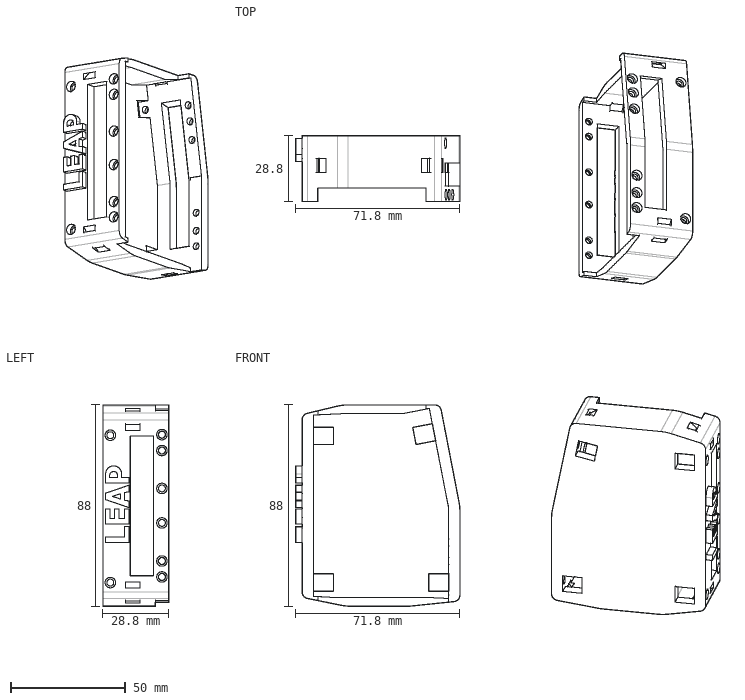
import cadquery as cq
import math

WIDTH = 69.0
DEPTH = 28.8
HEIGHT = 88.0
SIDE_WALL = 5.0
BACK_PLATE = 5.4
CORNER_RADIUS = 3.0
BEND_RADIUS = 20.0

TOP_LEFT_Z = 83.8
TOP_LEFT_BEVEL = 17.7
BOTTOM_LEFT_Z = 3.9
BOTTOM_LEFT_BEVEL = 19.2
BOTTOM_RIGHT_X = 46.9
BOTTOM_RIGHT_Z = 2.3
TOP_RIGHT_X = 60.4
LEAN_START_Z = 43.5
LEAN = math.atan((WIDTH - TOP_RIGHT_X) / (HEIGHT - LEAN_START_Z))

CEILING_Z = 84.1
CEILING_LEFT_Z = 83.5
CEILING_LEFT_X = 17.7
CEILING_RIGHT_X = 43.9
FLOOR_Z = 3.8
FLOOR_LEFT_Z = 4.4
FLOOR_LEFT_X = 15.3
FLOOR_RIGHT_Z = 3.4
FLOOR_RIGHT_X = 56.85

SETBACK = 5.8
POST_LEFT_X = 6.95
POST_TOP_RIGHT_X = 54.1

SLOT_Y = (6.8, 16.7)
SLOT_BOTTOM_Z = 13.4
SLOT_LEFT_TOP_Z = 74.4
SLOT_RIGHT_TOP_Z = 76.7

COUNTERBORE_DIAMETER = 4.6
COUNTERBORE_DEPTH = 3.0
HOLE_DIAMETER = 3.0
FRONT_HOLE_Y = 3.0
BACK_HOLE_Y = 25.5
LEFT_FRONT_HOLES_Z = (12.85, 19.8, 36.4, 51.5, 68.0, 75.0)
RIGHT_FRONT_HOLES_Z = (12.85, 19.8, 27.9, 59.9, 68.0, 75.0)
BACK_HOLES_LOW_Z = 10.4
BACK_HOLES_LEFT_Z = 74.7
BACK_HOLES_RIGHT_Z = 76.0

WINDOW_WIDTH = 8.6
WINDOW_HEIGHT = 7.5
TOP_LEFT_WINDOW_Z = 74.45
LEANING_WINDOW_Z = 76.0

STRAP_Y = (12.7, 18.8)
STRAP_THICKNESS = 1.9
STRAP_LENGTH = 26.4
STRAP_TOP_LEFT = (4.4, 82.1, 42)
STRAP_BOTTOM_LEFT = (4.4, 5.9, -38)
STRAP_TOP_RIGHT = (57.5, 85.7, -33)
STRAP_BOTTOM_RIGHT = (64.0, 3.4, 42)

LETTER_RAISE = 2.8
LETTER_HEIGHT = 10.1
LETTER_STROKE = 2.55
LETTER_BAR = 1.9
TEXT_BASE_Y = 17.4
TEXT_START_Z = 27.8

L_START, L_WIDTH = 0, 6.95
E_START, E_WIDTH = 8.1, 6.6
A_START, A_WIDTH = 15.3, 9.8
P_START, P_WIDTH = 26.0, 7.6

E_MIDDLE_BAR = 4.4
A_TIP_HALF_WIDTH = 1.4
A_NOTCH_HALF_WIDTHS = (2.0, 1.7)
A_HOLE_HALF_WIDTH = 1.1
A_HOLE_BOTTOM = 3.7
A_HOLE_TOP = 7.2
P_BOWL_BOTTOM = 3.2
P_HOLE_RIGHT = 5.1
P_HOLE_BOTTOM = 4.9
P_HOLE_TOP = 8.4

CUT_MARGIN = 4.4
POSITION_TOLERANCE = 0.01


def extrude_y(sketch, y_start, y_end):
    """Extrude an XZ sketch from y_start to y_end."""
    return sketch.extrude(-(y_end - y_start)).translate((0, y_start, 0))


def box(x_range, y_range, z_range):
    size = [high - low for low, high in (x_range, y_range, z_range)]
    corner = (x_range[0], y_range[0], z_range[0])
    return cq.Workplane("XY").box(*size, centered=False).translate(corner)


def lean_x(z):
    """X of the right outer face at height z."""
    return WIDTH - max(0.0, z - LEAN_START_Z) * math.tan(LEAN)


def inner_lean_x(z):
    """X of the leaning inner face at height z."""
    return TOP_RIGHT_X + (HEIGHT - z) * math.tan(LEAN) - SIDE_WALL / math.cos(LEAN)


def make_body():
    outline = [
        (0, BOTTOM_LEFT_Z),
        (BOTTOM_LEFT_BEVEL, 0),
        (BOTTOM_RIGHT_X, 0),
        (WIDTH, BOTTOM_RIGHT_Z),
        (WIDTH, LEAN_START_Z),
        (TOP_RIGHT_X, HEIGHT),
        (TOP_LEFT_BEVEL, HEIGHT),
        (0, TOP_LEFT_Z),
    ]
    body = extrude_y(cq.Workplane("XZ").polyline(outline).close(), 0, DEPTH)

    def edges_at(points):
        def on_a_point(edge):
            centre = edge.Center()
            return any(math.hypot(centre.x - x, centre.z - z) < POSITION_TOLERANCE for x, z in points)

        return body.edges("|Y").filter(on_a_point)

    bottom_left, bottom_bend_left, bottom_bend_right, bottom_right = outline[:4]
    right_bend, top_right, top_bend, top_left = outline[4:]
    corners = [bottom_left, bottom_right, top_right, top_left]
    body = edges_at(corners).fillet(CORNER_RADIUS)
    bends = [bottom_bend_left, bottom_bend_right, right_bend, top_bend]
    return edges_at(bends).fillet(BEND_RADIUS)


def make_cavity():
    inner_right = WIDTH - SIDE_WALL
    wall_x = inner_lean_x(CEILING_Z)
    run = (wall_x - CEILING_RIGHT_X) * math.cos(LEAN)
    ceiling_end = (
        CEILING_RIGHT_X + run * math.cos(LEAN),
        CEILING_Z + run * math.sin(LEAN),
    )
    inner_lean_start = HEIGHT - (inner_right - inner_lean_x(HEIGHT)) / math.tan(LEAN)
    points = [
        (SIDE_WALL, FLOOR_LEFT_Z),
        (FLOOR_LEFT_X, FLOOR_Z),
        (FLOOR_RIGHT_X, FLOOR_Z),
        (inner_right, FLOOR_RIGHT_Z),
        (inner_right, inner_lean_start),
        ceiling_end,
        (CEILING_RIGHT_X, CEILING_Z),
        (CEILING_LEFT_X, CEILING_Z),
        (SIDE_WALL, CEILING_LEFT_Z),
    ]
    return extrude_y(cq.Workplane("XZ").polyline(points).close(), 0, DEPTH - BACK_PLATE)


def make_setbacks():
    y_range = (0, SETBACK)
    top = box((POST_LEFT_X, POST_TOP_RIGHT_X), y_range, (HEIGHT / 2, HEIGHT))
    bottom = box((POST_LEFT_X, WIDTH - SIDE_WALL), y_range, (0, HEIGHT / 2))
    return top.union(bottom)


def make_side_slots():
    left = box((0, SIDE_WALL), SLOT_Y, (SLOT_BOTTOM_Z, SLOT_LEFT_TOP_Z))
    top_x = lean_x(SLOT_RIGHT_TOP_Z)
    inner_x = top_x - 2 * SIDE_WALL
    outer_x = WIDTH + CUT_MARGIN

    def end_z(x):
        return SLOT_RIGHT_TOP_Z + (top_x - x) * math.tan(LEAN)

    points = [
        (outer_x, SLOT_BOTTOM_Z),
        (outer_x, end_z(outer_x)),
        (inner_x, end_z(inner_x)),
        (inner_x, SLOT_BOTTOM_Z),
    ]
    right = extrude_y(cq.Workplane("XZ").polyline(points).close(), *SLOT_Y)
    return left.union(right)


def screw_hole(x, y, z, inward):
    """Hole with a deep counterbore, from the outer face at (x, y, z) through the side wall."""
    axis = cq.Vector(inward, 0, 0)

    def bore(diameter, depth):
        start = cq.Vector(x - inward * CUT_MARGIN, y, z)
        return cq.Workplane(cq.Solid.makeCylinder(diameter / 2, depth + CUT_MARGIN, start, axis))

    return bore(COUNTERBORE_DIAMETER, COUNTERBORE_DEPTH).union(bore(HOLE_DIAMETER, SIDE_WALL + CUT_MARGIN))


def make_screw_holes():
    left = [(FRONT_HOLE_Y, z) for z in LEFT_FRONT_HOLES_Z]
    left += [(BACK_HOLE_Y, BACK_HOLES_LOW_Z), (BACK_HOLE_Y, BACK_HOLES_LEFT_Z)]
    right = [(FRONT_HOLE_Y, z) for z in RIGHT_FRONT_HOLES_Z]
    right += [(BACK_HOLE_Y, BACK_HOLES_LOW_Z), (BACK_HOLE_Y, BACK_HOLES_RIGHT_Z)]
    holes = cq.Workplane("XY")
    for y, z in left:
        holes = holes.add(screw_hole(0, y, z, 1))
    for y, z in right:
        holes = holes.add(screw_hole(lean_x(z), y, z, -1))
    return holes.combine()


def make_windows():
    y_range = (DEPTH - BACK_PLATE, DEPTH)

    def window(x, z):
        half = WINDOW_HEIGHT / 2
        return box((x, x + WINDOW_WIDTH), y_range, (z - half, z + half))

    windows = window(SIDE_WALL, BACK_HOLES_LOW_Z)
    windows = windows.union(window(SIDE_WALL, TOP_LEFT_WINDOW_Z))
    windows = windows.union(window(WIDTH - SIDE_WALL - WINDOW_WIDTH, BACK_HOLES_LOW_Z))
    wall_point = (inner_lean_x(LEANING_WINDOW_Z), 0, LEANING_WINDOW_Z)
    leaning = window(-WINDOW_WIDTH, 0).rotate((0, 0, 0), (0, 1, 0), -math.degrees(LEAN))
    return windows.union(leaning.translate(wall_point))


def strap_slot(x, z, angle):
    """Flat diagonal slot centred on (x, z) and tilted up to the right by angle degrees."""
    slot = cq.Workplane("XY").box(STRAP_LENGTH, STRAP_Y[1] - STRAP_Y[0], STRAP_THICKNESS)
    return slot.rotate((0, 0, 0), (0, 1, 0), -angle).translate((x, sum(STRAP_Y) / 2, z))


def letter_plane(start):
    origin = (0, TEXT_BASE_Y, TEXT_START_Z + start)
    return cq.Workplane(cq.Plane(origin=origin, xDir=(0, 0, 1), normal=(-1, 0, 0)))


def letter_l():
    points = [(0, 0), (L_WIDTH, 0), (L_WIDTH, LETTER_BAR), (LETTER_STROKE, LETTER_BAR)]
    points += [(LETTER_STROKE, LETTER_HEIGHT), (0, LETTER_HEIGHT)]
    return letter_plane(L_START).polyline(points).close().extrude(LETTER_RAISE)


def letter_e():
    plane = letter_plane(E_START)
    letter = plane.rect(LETTER_STROKE, LETTER_HEIGHT, centered=False).extrude(LETTER_RAISE)
    for level in (0, E_MIDDLE_BAR, LETTER_HEIGHT - LETTER_BAR):
        bar = plane.moveTo(0, level).rect(E_WIDTH, LETTER_BAR, centered=False).extrude(LETTER_RAISE)
        letter = letter.union(bar)
    return letter


def letter_a():
    middle = A_WIDTH / 2
    foot, notch = A_NOTCH_HALF_WIDTHS
    left_half = [(-A_TIP_HALF_WIDTH, LETTER_HEIGHT), (-middle, 0), (-foot, 0), (-notch, LETTER_BAR)]
    right_half = [(-u, v) for u, v in reversed(left_half)]
    points = [(middle + u, v) for u, v in left_half + right_half]
    hole = [
        (middle - A_HOLE_HALF_WIDTH, A_HOLE_BOTTOM),
        (middle + A_HOLE_HALF_WIDTH, A_HOLE_BOTTOM),
        (middle, A_HOLE_TOP),
    ]
    plane = letter_plane(A_START)
    letter = plane.polyline(points).close().extrude(LETTER_RAISE)
    return letter.cut(plane.polyline(hole).close().extrude(LETTER_RAISE))


def letter_p():
    plane = letter_plane(P_START)

    def bowl(left, right, low, high):
        radius = (high - low) / 2
        sketch = plane.moveTo(left, low).lineTo(right - radius, low)
        sketch = sketch.threePointArc((right, low + radius), (right - radius, high))
        return sketch.lineTo(left, high).close().extrude(LETTER_RAISE)

    stem = plane.rect(LETTER_STROKE, LETTER_HEIGHT, centered=False).extrude(LETTER_RAISE)
    letter = stem.union(bowl(0, P_WIDTH, P_BOWL_BOTTOM, LETTER_HEIGHT))
    return letter.cut(bowl(LETTER_STROKE, P_HOLE_RIGHT, P_HOLE_BOTTOM, P_HOLE_TOP))


result = make_body().cut(make_cavity()).cut(make_setbacks()).cut(make_side_slots())
result = result.cut(make_screw_holes()).cut(make_windows())
for strap in (STRAP_TOP_LEFT, STRAP_BOTTOM_LEFT, STRAP_TOP_RIGHT, STRAP_BOTTOM_RIGHT):
    result = result.cut(strap_slot(*strap))
for letter in (letter_l(), letter_e(), letter_a(), letter_p()):
    result = result.union(letter)